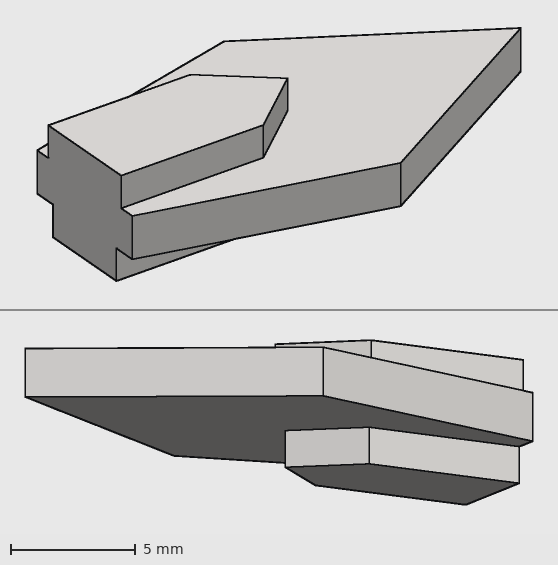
import cadquery as cq

blade_length = 21.5
blade_width = 12.1
blade_base_width = 6.54
blade_thickness = 2.0
blade_shoulder = 11.22

key_height = 1.5
top_key_width = 5.0
top_key_shoulder = 7.0
top_key_length = 10.0
bottom_key_width = 4.36
bottom_key_shoulder = 6.9
bottom_key_length = 9.55


def pointed_plate(base_width, shoulder_width, shoulder_y, tip_y, bottom_z, thickness):
    """Plate symmetric about X = 0, running from a flat base at Y = 0 to a point at +Y."""
    outline = [
        (-base_width / 2, 0),
        (base_width / 2, 0),
        (shoulder_width / 2, shoulder_y),
        (0, tip_y),
        (-shoulder_width / 2, shoulder_y),
    ]
    return cq.Workplane("XY").workplane(offset=bottom_z).polyline(outline).close().extrude(thickness)


blade = pointed_plate(
    blade_base_width, blade_width, blade_shoulder, blade_length,
    -blade_thickness / 2, blade_thickness,
)
top_key = pointed_plate(
    top_key_width, top_key_width, top_key_shoulder, top_key_length,
    blade_thickness / 2, key_height,
)
bottom_key = pointed_plate(
    bottom_key_width, bottom_key_width, bottom_key_shoulder, bottom_key_length,
    -blade_thickness / 2 - key_height, key_height,
)

result = blade.union(top_key).union(bottom_key).clean()